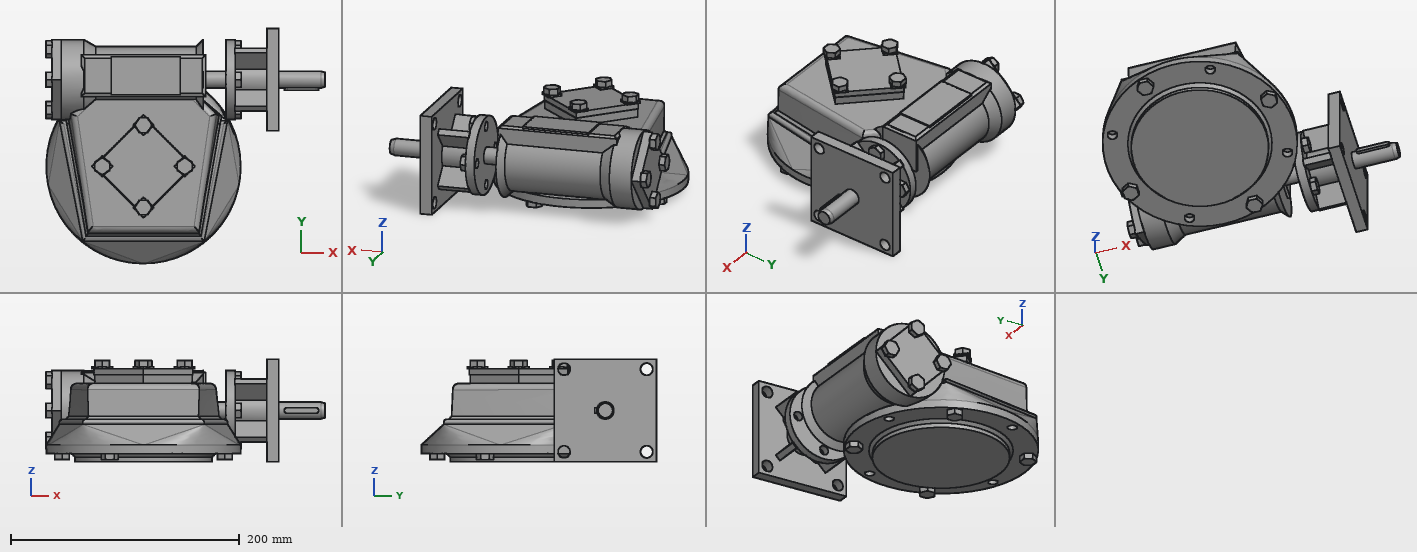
import math

import cadquery as cq


square_side = 89.55

flange_radius = 85.0
flange_bottom = -37.7
flange_top = -30.0
register_radius = 63.0
register_tip_radius = 60.0
register_taper_height = 3.0
part_bottom = -square_side / 2
base_bolt_radius = 77.0
base_bolt_offset_deg = 22.5
base_hole_diameter = 8.5

lip_bottom = -12.0
lip_top = -7.5
lip_fillet = 3.0
lip_front_half, lip_front_y = 53.0, -65.5
lip_back_half, lip_back_y = 73.5, 40.0
wall_bottom = -5.0
wall_flare = 2.2
wall_front_half, wall_front_y = 48.0, -58.7
wall_back_half, wall_back_y = 66.0, 44.0
roof_z = 23.7
roof_front_half, roof_front_y = 49.0, -57.4
roof_back_half, roof_back_y = 63.0, 46.0
shoulder_half, shoulder_y = 46.0, 63.0
roof_fillet = 5.5

cover_boss_diagonal = 85.0
cover_diagonal = 86.5
cover_joint_z = 31.1
cover_top = 36.6
cover_bolt_radius = 36.0
washer_diagonal = 18.0
washer_thickness = 1.8

head_flats = 13.0
head_height = 5.3
head_chamfer = 0.5
half_hex_turn = 30

shaft_y = 75.685
shaft_diameter = 15.0
shaft_end = 158.75
shaft_chamfer = 1.2
shaft_chamfer_length = 4.0
key_start, key_end = 123.0, 153.0
key_width = 5.0
key_reach = 9.4
bearing_radius = 35.0
barrel_radius = 29.0
bearing_face = 72.0
barrel_left, barrel_right = -41.5, 46.0
bearing_inner = 52.0
pad_offset_y = 3.5
pad_length, pad_width = 109.0, 36.8
pad_top = 34.6
pad_chamfer_inset = 3.0
pad_chamfer_height = 1.8
plate_offset_x = 2.0
plate_length, plate_width = 60.5, 33.0
plate_top = 35.6
end_cover_thickness = 8.04
end_bolt_radius = 26.5
end_hole_diameter = 8.38

square_start, square_end = 107.8, 118.3
square_hole_diameter = 10.5
square_hole_circle = 102.0
hub_radius = 16.0
rib_reach = 36.0
rib_thickness = 6.0

overlap = 0.5
quarter_turns = (0, 90, 180, 270)


def polar(radius, angle_deg):
    angle = math.radians(angle_deg)
    return radius * math.cos(angle), radius * math.sin(angle)


def upright_cylinder(radius, z_low, z_high):
    return cq.Workplane("XY").workplane(offset=z_low).circle(radius).extrude(z_high - z_low)


def shaft_plane(x):
    """Workplane across the worm shaft at x: local x is +Y, local y is +Z."""
    return cq.Workplane("YZ", origin=(x, shaft_y, 0))


def shaft_cylinder(radius, x_low, x_high):
    return shaft_plane(x_low).circle(radius).extrude(x_high - x_low)


def shaft_cone(x_low, radius_low, x_high, radius_high):
    return (
        shaft_plane(x_low)
        .circle(radius_low)
        .workplane(offset=x_high - x_low)
        .circle(radius_high)
        .loft(combine=True)
    )


def hex_head(turn_deg):
    """Bolt head rising along +Z, its outer corners chamfered; sunk by the overlap."""
    across_corners = head_flats / math.cos(math.pi / 6)
    height = head_height + overlap
    envelope = cq.Workplane("XY").circle(across_corners / 2).extrude(height).faces(">Z").chamfer(head_chamfer)
    head = cq.Workplane("XY").polygon(6, across_corners).extrude(height).intersect(envelope)
    return head.rotate((0, 0, 0), (0, 0, 1), turn_deg).translate((0, 0, -overlap))


def trapezoid(front_half, front_y, back_half, back_y):
    return [(-front_half, front_y), (front_half, front_y), (back_half, back_y), (-back_half, back_y)]


def house_outline(front_half, front_y, back_half, back_y):
    """Trapezoid with two more corners at the back that lead under the worm barrel."""
    left_front, right_front, right_back, left_back = trapezoid(front_half, front_y, back_half, back_y)
    right_shoulder, left_shoulder = (shoulder_half, shoulder_y), (-shoulder_half, shoulder_y)
    return [left_front, right_front, right_back, right_shoulder, left_shoulder, left_back]


def wire_at(points, z):
    return cq.Wire.makePolygon([cq.Vector(x, y, z) for x, y in points], close=True)


def ruled(lower_wire, upper_wire):
    return cq.Workplane(cq.Solid.makeLoft([lower_wire, upper_wire], True))


def flat_face(corners):
    return cq.Face.makeFromWires(cq.Wire.makePolygon(corners, close=True))


def skirt(corners):
    """Blend from the lip's straight-sided outline to the flange circle.

    Each straight side leans down to one point of the circle. Between those flat sides
    an oblique cone runs from each lip corner to the circle.
    """
    upper = [cq.Vector(x, y, lip_bottom) for x, y in corners]
    lower = []
    for start, end in zip(upper, upper[1:] + upper[:1]):
        side = end - start
        outward_deg = math.degrees(math.atan2(-side.x, side.y))
        lower.append(cq.Vector(*polar(flange_radius, outward_deg), flange_top))
    faces = [flat_face(upper), flat_face(lower)]
    for i, corner in enumerate(upper):
        faces.append(flat_face([corner, upper[(i + 1) % len(upper)], lower[i]]))
        faces.append(flat_face([corner, lower[i], lower[i - 1]]))
    blend = cq.Workplane(cq.Solid.makeSolid(cq.Shell.makeShell(faces)))
    rim = cq.Wire.makeCircle(flange_radius, cq.Vector(0, 0, flange_top), cq.Vector(0, 0, 1))
    for corner in upper:
        apex = cq.Vertex.makeVertex(*corner.toTuple())
        blend = blend.union(cq.Workplane(cq.occ_impl.shapes.loft([rim, apex], cap=True, ruled=True)))
    return blend


def base_flange():
    flange = upright_cylinder(flange_radius, flange_bottom, flange_top)
    taper_end = flange_bottom - register_taper_height
    taper = (
        cq.Workplane("XY")
        .workplane(offset=taper_end)
        .circle(register_tip_radius)
        .workplane(offset=register_taper_height)
        .circle(register_radius)
        .loft(combine=True)
    )
    flange = flange.union(taper).union(upright_cylinder(register_tip_radius, part_bottom, taper_end))
    for turn in quarter_turns:
        hole_x, hole_y = polar(base_bolt_radius, turn + base_bolt_offset_deg)
        hole = upright_cylinder(base_hole_diameter / 2, flange_bottom, flange_top)
        flange = flange.cut(hole.translate((hole_x, hole_y, 0)))
        bolt_x, bolt_y = polar(base_bolt_radius, turn - base_bolt_offset_deg)
        head = hex_head(turn + half_hex_turn).mirror("XY").translate((bolt_x, bolt_y, flange_bottom))
        flange = flange.union(head)
    return flange


def housing():
    lip = trapezoid(lip_front_half, lip_front_y, lip_back_half, lip_back_y)
    edge = cq.Workplane("XY").workplane(offset=lip_bottom).polyline(lip).close().extrude(lip_top - lip_bottom)
    edge = edge.faces(">Z").edges().fillet(lip_fillet)
    wall_outline = house_outline(wall_front_half, wall_front_y, wall_back_half, wall_back_y)
    roof_outline = house_outline(roof_front_half, roof_front_y, roof_back_half, roof_back_y)
    flare_outline = house_outline(
        wall_front_half + wall_flare,
        wall_front_y - wall_flare,
        wall_back_half + wall_flare,
        wall_back_y,
    )
    flare = ruled(wire_at(flare_outline, lip_top), wire_at(wall_outline, wall_bottom))
    foot = (
        cq.Workplane("XY")
        .workplane(offset=flange_top)
        .polyline(house_outline(wall_front_half, wall_front_y, lip_front_half, lip_back_y))
        .close()
        .extrude(wall_bottom - flange_top)
    )
    box = ruled(wire_at(wall_outline, wall_bottom), wire_at(roof_outline, roof_z))
    box = box.faces(">Z").edges().fillet(roof_fillet)
    return skirt(lip).union(edge).union(flare).union(foot).union(box)


def diamond(diagonal, z_low, z_high):
    return cq.Workplane("XY").workplane(offset=z_low).polygon(4, diagonal).extrude(z_high - z_low)


def top_cover():
    cover = diamond(cover_boss_diagonal, roof_z - overlap, cover_joint_z)
    cover = cover.union(diamond(cover_diagonal, cover_joint_z, cover_top))
    washer_top = cover_top + washer_thickness
    for turn in quarter_turns:
        x, y = polar(cover_bolt_radius, turn)
        washer = diamond(washer_diagonal, cover_top, washer_top)
        cover = cover.union(washer.translate((x, y, 0)))
        cover = cover.union(hex_head(turn - half_hex_turn).translate((x, y, washer_top)))
    return cover


def worm_housing():
    barrel = shaft_cylinder(barrel_radius, barrel_left, barrel_right)
    left_cone = shaft_cone(-bearing_inner, bearing_radius, barrel_left, barrel_radius)
    right_cone = shaft_cone(barrel_right, barrel_radius, bearing_inner, bearing_radius)
    bearing = shaft_cylinder(bearing_radius, -bearing_face, -bearing_inner)
    pad_y = shaft_y + pad_offset_y
    pad = cq.Workplane("XY").center(0, pad_y).rect(pad_length, pad_width).extrude(pad_top)
    pad = pad.faces(">Z").chamfer(pad_chamfer_height, pad_chamfer_inset)
    plate = cq.Workplane("XY").center(plate_offset_x, pad_y).rect(plate_length, plate_width)
    plate = plate.extrude(plate_top)
    return barrel.union(left_cone).union(right_cone).union(bearing).union(pad).union(plate)


def end_bolts(face_x, direction):
    """Four bolt heads on a face across the shaft; direction is +1 for +X, -1 for -X."""
    bolts = cq.Workplane("XY")
    for turn in quarter_turns:
        y, z = polar(end_bolt_radius, turn)
        head = hex_head(turn - half_hex_turn).rotate((0, 0, 0), (0, 1, 0), 90 * direction)
        bolts = bolts.union(head.translate((face_x, shaft_y + y, z)))
    return bolts


def end_cover():
    cover = shaft_plane(-bearing_face).polygon(4, 2 * bearing_radius).extrude(-end_cover_thickness)
    return cover.union(end_bolts(-bearing_face - end_cover_thickness, -1))


def motor_adapter():
    flange_back = bearing_face + end_cover_thickness
    adapter = shaft_cylinder(bearing_radius, bearing_face, flange_back)
    for turn in quarter_turns:
        y, z = polar(end_bolt_radius, turn)
        hole = shaft_cylinder(end_hole_diameter / 2, bearing_face, flange_back)
        adapter = adapter.cut(hole.translate((0, y, z)))
    adapter = adapter.union(end_bolts(flange_back, 1))
    adapter = adapter.union(shaft_cylinder(hub_radius, flange_back, square_start))
    for turn in (45, 135):
        rib = shaft_plane(flange_back - overlap).transformed(rotate=(0, 0, turn))
        rib = rib.rect(2 * rib_reach, rib_thickness).extrude(square_start - flange_back + 2 * overlap)
        adapter = adapter.union(rib)
    hole_pitch = square_hole_circle / math.sqrt(2)
    square = (
        shaft_plane(square_start)
        .rect(square_side, square_side)
        .extrude(square_end - square_start)
        .faces(">X")
        .workplane(origin=(square_end, shaft_y, 0))
        .rect(hole_pitch, hole_pitch, forConstruction=True)
        .vertices()
        .hole(square_hole_diameter)
    )
    return adapter.union(square)


def worm_shaft():
    radius = shaft_diameter / 2
    shaft = shaft_cylinder(radius, 0, shaft_end)
    shaft = shaft.faces(">X").chamfer(shaft_chamfer_length, shaft_chamfer)
    key = (
        cq.Workplane("XZ", origin=((key_start + key_end) / 2, shaft_y, 0))
        .slot2D(key_end - key_start, key_width)
        .extrude(key_reach)
    )
    return shaft.union(key)


result = base_flange()
for piece in (housing(), worm_housing(), top_cover(), end_cover(), worm_shaft(), motor_adapter()):
    result = result.union(piece)